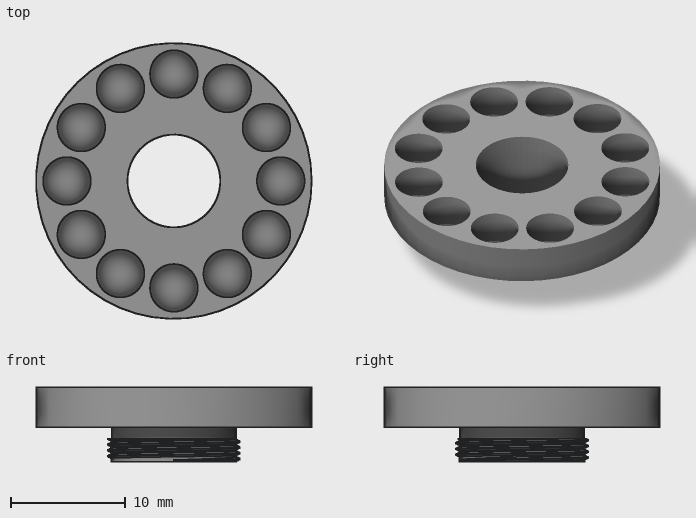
import cadquery as cq
import math

flange_diameter = 24.0
flange_thickness = 3.5
neck_length = 1.0
thread_length = 2.0
neck_bottom = thread_length
flange_bottom = neck_bottom + neck_length

bore_diameter = 8.05
neck_diameter = 10.83

pocket_count = 12
pocket_diameter = 4.16
pocket_depth = 3.0
pocket_circle_radius = 9.3

thread_major_diameter = 11.5
thread_pitch = 0.5
thread_height = thread_pitch * math.sqrt(3) / 2
tooth_depth = thread_height * 17 / 24
crest_radius = thread_major_diameter / 2
root_radius = crest_radius - tooth_depth
root_width = thread_pitch * 3 / 4
crest_width = thread_pitch / 8

fade_turns = 0.25
fade_start_width_fraction = 0.2
fade_start_depth_fraction = 0.03
fade_curve_segments = 40
full_tooth_start = thread_pitch / 2
full_turns = math.ceil((thread_length + root_width / 2 - full_tooth_start) / thread_pitch)


def make_flanged_body():
    """Flange, relieved neck and thread core, bored through and pocketed from above."""
    core = cq.Workplane("XY").circle(root_radius).extrude(thread_length)
    neck = cq.Workplane("XY").workplane(offset=neck_bottom).circle(neck_diameter / 2).extrude(neck_length)
    flange = (
        cq.Workplane("XY")
        .workplane(offset=flange_bottom)
        .circle(flange_diameter / 2)
        .extrude(flange_thickness)
    )
    body = core.union(neck).union(flange)
    body = body.faces(">Z").workplane().hole(bore_diameter)
    return (
        body.faces(">Z")
        .workplane()
        .polarArray(pocket_circle_radius, 0, 360, pocket_count)
        .hole(pocket_diameter, pocket_depth)
    )


def full_corner_edge(radius, height_offset):
    """Helix traced by one corner of the full-size tooth, starting at +X."""
    helix = cq.Wire.makeHelix(thread_pitch, full_turns * thread_pitch, radius)
    start = cq.Vector(0, 0, full_tooth_start + height_offset)
    return helix.translate(start).Edges()[0]


def fade_corner_edge(radius, height_offset):
    """Curve traced by one tooth corner while the tooth grows to full size at +X."""

    def corner_point(progress):
        width_growth = fade_start_width_fraction + (1 - fade_start_width_fraction) * progress
        linear_growth = fade_start_depth_fraction + (1 - fade_start_depth_fraction) * progress
        depth_growth = math.sin(linear_growth * math.pi / 2)
        turns = fade_turns * (progress - 1)
        angle = 2 * math.pi * turns
        corner_radius = root_radius + (radius - root_radius) * depth_growth
        return (
            corner_radius * math.cos(angle),
            corner_radius * math.sin(angle),
            full_tooth_start + thread_pitch * turns + height_offset * width_growth,
        )

    curve = cq.Workplane("XY").parametricCurve(corner_point, N=fade_curve_segments, makeWire=False)
    return curve.val()


def tooth_solid(corner_edge):
    """Solid whose four long faces are ruled between the curves of neighbouring tooth corners."""
    corners = [
        (root_radius, -root_width / 2),
        (crest_radius, -crest_width / 2),
        (crest_radius, crest_width / 2),
        (root_radius, root_width / 2),
    ]
    edges = [corner_edge(radius, offset) for radius, offset in corners]
    faces = [
        cq.Face.makeRuledSurface(edge, edges[(index + 1) % len(edges)])
        for index, edge in enumerate(edges)
    ]
    for end in (0, 1):
        outline = cq.Wire.makePolygon([edge.positionAt(end) for edge in edges], close=True)
        faces.append(cq.Face.makeFromWires(outline))
    return cq.Solid.makeSolid(cq.Shell.makeShell(faces)).fix()


def make_thread():
    """Helical tooth wound on the core, cut flat where the neck begins."""
    full_tooth = cq.Workplane(tooth_solid(full_corner_edge))
    fading_tooth = cq.Workplane(tooth_solid(fade_corner_edge))
    tooth = full_tooth.union(fading_tooth)
    envelope = cq.Workplane("XY").circle(thread_major_diameter).extrude(thread_length)
    return tooth.intersect(envelope)


flanged_body = make_flanged_body()
thread = make_thread()

result = cq.Compound.makeCompound([*flanged_body.solids().vals(), *thread.solids().vals()])